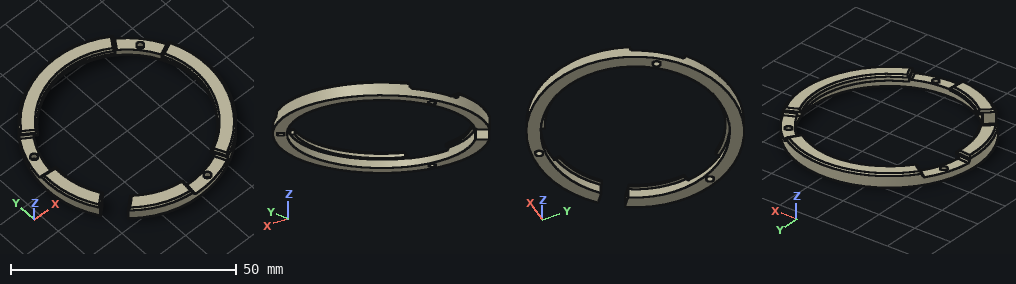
import cadquery as cq
import math

outer_radius = 24.2
body_inner_radius = 21.0
lip_inner_radius = 20.05
height = 3.5
seat_height = 2.0
edge_chamfer = 0.5

seat_angles = (40, 160, 280)
seat_half_angle = 15
ramp_run = 0.5
ramp_rise = 0.55
ramp_top = seat_height + ramp_rise
hole_diameter = 1.75
hole_circle_radius = 22.4

opening_angle = 220.5
opening_width = 6.0
short_pad_reach = 55
corner_chamfer = 0.2

cut_reach = 1.2 * outer_radius


def ring(inner, outer, bottom, top):
    """Flat ring between two radii and two heights."""
    return cq.Workplane("XY").workplane(offset=bottom).circle(outer).circle(inner).extrude(top - bottom)


def sector(half_angle, bottom, top):
    """Triangular sector around +X with its tip on the ring axis."""
    half_width = cut_reach * math.tan(math.radians(half_angle))
    return (
        cq.Workplane("XY").workplane(offset=bottom)
        .polyline([(0, 0), (cut_reach, -half_width), (cut_reach, half_width)]).close()
        .extrude(top - bottom)
    )


def split_ring():
    """Stepped ring cut open by a parallel-sided gap along +X."""
    gap = cq.Workplane("XY").box(cut_reach, opening_width, 3 * height, centered=(False, True, True))
    body = ring(body_inner_radius, outer_radius, 0, height)
    lip = ring(lip_inner_radius, body_inner_radius, seat_height, height)
    undercut = sector(short_pad_reach, seat_height, ramp_top)
    return body.union(lip.cut(undercut)).cut(gap)


def ramp(side):
    """Sloped foot between a seat at angle zero and the pad on one side of it."""
    run = side * ramp_run
    profile = [(-run, 0), (-run, seat_height), (0, ramp_top), (run, ramp_top), (run, 0)]
    foot = (
        cq.Workplane("YZ")
        .polyline(profile).close()
        .extrude(cut_reach)
        .rotate((0, 0, 0), (0, 0, 1), side * seat_half_angle)
    )
    return foot.intersect(ring(body_inner_radius, cut_reach, 0, height))


def seat_cutter():
    """Space above a seat at angle zero: a sector with a ramp along each side, plus the screw hole."""
    hole = cq.Workplane("XY").center(hole_circle_radius, 0).circle(hole_diameter / 2).extrude(height)
    space = sector(seat_half_angle, seat_height, height)
    return space.cut(ramp(-1)).cut(ramp(1)).union(hole)


result = split_ring()
cutter = seat_cutter()
for angle in seat_angles:
    result = result.cut(cutter.rotate((0, 0, 0), (0, 0, 1), angle - opening_angle))

result = result.faces(">Z").chamfer(edge_chamfer)

end_corners = cq.selectors.BoxSelector((0, -opening_width, -height), (cut_reach, opening_width, 2 * height))
result = result.edges(end_corners).edges("|Z").chamfer(corner_chamfer)

result = result.rotate((0, 0, 0), (0, 0, 1), opening_angle)